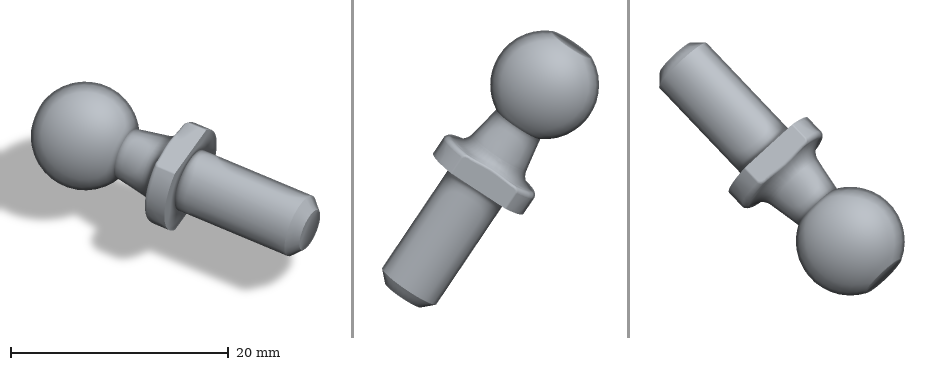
import cadquery as cq
import math

total_length = 28.0
neck_end = 12.0
flange_front = 13.27
flange_back = 15.5

ball_diameter = 10.0
ball_radius = ball_diameter / 2
ball_flat_radius = 2.2
neck_small_radius = 2.45
shank_radius = 6.0 / 2
neck_large_radius = shank_radius
flange_radius = ball_radius

across_flats = 8.0
flat_edge_fillet = 0.25
ball_flat_fillet = 0.25
tip_chamfer = 1.0

ball_center = math.sqrt(ball_radius**2 - ball_flat_radius**2)
neck_start = ball_center + math.sqrt(ball_radius**2 - neck_small_radius**2)

cone_angle = math.atan2(neck_large_radius - neck_small_radius, neck_end - neck_start)
root_blend = (flange_front - neck_end) / (1 - math.sin(cone_angle))
root_center_x = flange_front - root_blend
root_center_r = neck_large_radius + root_blend * math.cos(cone_angle)
root_mid_angle = (cone_angle - math.pi / 2) / 2
root_mid = (
    root_center_x + root_blend * math.cos(root_mid_angle),
    root_center_r + root_blend * math.sin(root_mid_angle),
)

flange_rim_fillet = flange_radius - root_center_r
rim_center_x = flange_front + flange_rim_fillet
rim_mid = (
    rim_center_x - flange_rim_fillet * math.sqrt(0.5),
    root_center_r + flange_rim_fillet * math.sqrt(0.5),
)


def turned_body():
    """Ball, neck, round flange and shank revolved about the X axis."""
    profile = (
        cq.Workplane("XY")
        .moveTo(0, 0)
        .lineTo(0, ball_flat_radius)
        .threePointArc((ball_center, ball_radius), (neck_start, neck_small_radius))
        .lineTo(neck_end, neck_large_radius)
        .threePointArc(root_mid, (flange_front, root_center_r))
        .threePointArc(rim_mid, (rim_center_x, flange_radius))
        .lineTo(flange_back, flange_radius)
        .lineTo(flange_back, shank_radius)
        .lineTo(total_length - tip_chamfer, shank_radius)
        .lineTo(total_length, shank_radius - tip_chamfer)
        .lineTo(total_length, 0)
        .close()
    )
    return profile.revolve(360, (0, 0, 0), (1, 0, 0))


def cut_flange_flats(body):
    """Cut two parallel wrench flats, facing +Z and -Z, on the flange."""
    cutter_length = flange_back - neck_end
    cutter_height = flange_radius
    for side in (1, -1):
        cutter = cq.Workplane("XY").box(cutter_length, 2 * flange_radius, cutter_height)
        cutter_x = (neck_end + flange_back) / 2
        cutter_z = side * (across_flats + cutter_height) / 2
        body = body.cut(cutter.translate((cutter_x, 0, cutter_z)))
    return body


def round_flat_edges(body):
    """Round the front and side edges of each flat, leaving its back edge sharp."""
    last_rounded_x = flange_back - flat_edge_fillet
    flat_edges = body.faces("|Z").edges()
    return flat_edges.filter(lambda edge: edge.Center().x < last_rounded_x).fillet(flat_edge_fillet)


def round_ball_flat(body):
    """Soften the edge between the ball and its flat end."""
    return body.faces("<X").edges().fillet(ball_flat_fillet)


flanged_stud = round_flat_edges(cut_flange_flats(turned_body()))
result = round_ball_flat(flanged_stud)